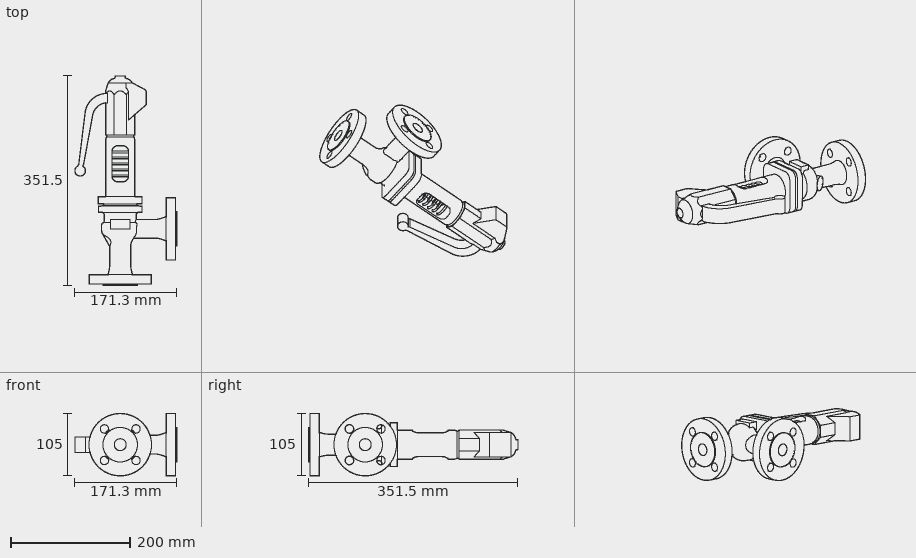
import cadquery as cq
import math


OVERALL_WIDTH = 171.27

FACE_DISTANCE = 95.0
FLANGE_RADIUS = 52.5
FLANGE_THICKNESS = 16.0
RAISED_FACE_RADIUS = 29.0
RAISED_FACE_HEIGHT = 2.0
BOLT_CIRCLE_RADIUS = 37.5
BOLT_HOLE_RADIUS = 7.0
BOLT_COUNT = 4
PORT_RADIUS = 10.0
PORT_DEPTH = 0.2
FLANGE_BACK = FACE_DISTANCE - RAISED_FACE_HEIGHT - FLANGE_THICKNESS

HUB_START = 62.0
HUB_BULGE = 0.5
INLET_RADIUS = 17.8
INLET_HUB_RADIUS = 20.8
OUTLET_RADIUS = 16.0
OUTLET_HUB_RADIUS = 20.8

BODY_RADIUS = 31.5
BODY_BELT_TOP = 4.4
BODY_BELT_BOTTOM = -1.0
BODY_TURN_RADIUS = 25.0
BODY_TURN_Y = -13.6
INLET_PIPE_START = -31.5
NECK_RADIUS = 27.0
NECK_BOTTOM = 14.2
BOWL_TOP_RADIUS = 27.8
BOWL_TOP_Y = 10.9
NECK_BLEND_BULGE = 0.2
SHOULDER_BULGE = 1.5
BOWL_BULGE = 2.0
FLARE_BULGE = 2.3
NECK_FILLET = 4.5

BODY_CLAMP_BOTTOM = 27.7
BODY_CLAMP_TOP = 38.2
BONNET_CLAMP_BOTTOM = 41.7
BONNET_CLAMP_TOP = 54.0
BODY_CLAMP_SIZE = 73.2
BONNET_CLAMP_SIZE = 73.8
BODY_CLAMP_FLAT = 51.0
BONNET_CLAMP_FLAT = 48.0
GASKET_RADIUS = 28.0
GASKET_SEAT_RADIUS = 33.0
GASKET_SEAT_HEIGHT = 1.0

BONNET_RADIUS = 24.5
BONNET_TOP = 154.4
BONNET_TOP_RADIUS = 22.5
BONNET_ROUNDING_HEIGHT = 5.1
BONNET_ROUNDING_BULGE = 0.5
WINDOW_WIDTH = 27.6
WINDOW_BOTTOM = 79.0
WINDOW_TOP = 139.2
WINDOW_CORNER_RADIUS = 9.5
COIL_COUNT = 5
COIL_PITCH = 10.0
COIL_WIRE_RADIUS = 1.7
COIL_RADIUS = 17.0
FIRST_COIL_Y = 88.9

CAP_BOTTOM = 157.6
CAP_LIP_RADIUS = 23.7
CAP_SIDES = 8
CAP_FLATS = 49.4
CAP_SHOULDER_Y = 245.0
CAP_SHOULDER_RADIUS = 20.5
CAP_CONE_SLOPE = 0.31
DOME_POINTS = [(17.2, 249.0), (13.2, 251.6), (10.4, 252.5)]
TIP_Y = 256.5
TIP_RADIUS = 8.5

HOUSING_HALF_THICKNESS = 20.8
HOUSING_INNER_X = 14.0
HOUSING_ROOT_X = 9.6
HOUSING_OUTER_X = 44.0
HOUSING_INNER_Y = 182.6
HOUSING_OUTER_BOTTOM = 208.3
HOUSING_OUTER_TOP = 232.5
HOUSING_CORNER_RADIUS = 5.0

LEVER_THICKNESS = 26.6
LEVER_TOP = 227.5
LEVER_ROOT_DEPTH = 16.0
LEVER_ROOT_X = -20.0
LEVER_BEND_START_X = -22.0
LEVER_OUTER_BEND = (-59.4, 192.8)
LEVER_INNER_BEND = (-45.8, 192.0)
LEVER_INNER_BULGE = 5.2
LEVER_OUTER_END = (-69.5, 110.5)
LEVER_INNER_END = (-61.3, 108.0)
KNOB_RADIUS = 9.0
KNOB_X = FACE_DISTANCE - OVERALL_WIDTH + KNOB_RADIUS
KNOB_Y = 97.4
KNOB_FILLET_Y = 104.4
KNOB_FILLET_BULGE = 0.95

BOSS_RADIUS = 12.5
BOSS_ANGLE = 210.0
BOSS_CENTER = (-23.75, -19.2)
BOSS_LENGTH = 22.0
PLATE_LENGTH = 33.0
PLATE_HEIGHT = 16.0
PLATE_CENTER_Y = 7.4
PLATE_TOP_Z = 35.0


def bulged_point(start, end, bulge):
    """Middle point of an arc from start to end, offset by bulge to the left of the chord."""
    dx = end[0] - start[0]
    dy = end[1] - start[1]
    chord = math.hypot(dx, dy)
    return ((start[0] + end[0]) / 2 - dy / chord * bulge, (start[1] + end[1]) / 2 + dx / chord * bulge)


def revolve_about_y(profile):
    return profile.close().revolve(360, (0, 0, 0), (0, 1, 0))


def flanged_pipe(pipe_radius, hub_radius, pipe_start):
    """Pipe with flared hub and flange, running down the -Y axis."""
    pipe_end = (pipe_radius, -HUB_START)
    hub_end = (hub_radius, -FLANGE_BACK)
    flange_face = -FACE_DISTANCE + RAISED_FACE_HEIGHT
    profile = (
        cq.Workplane("XY")
        .moveTo(0, pipe_start)
        .lineTo(pipe_radius, pipe_start)
        .lineTo(*pipe_end)
        .threePointArc(bulged_point(pipe_end, hub_end, -HUB_BULGE), hub_end)
        .lineTo(FLANGE_RADIUS, -FLANGE_BACK)
        .lineTo(FLANGE_RADIUS, flange_face)
        .lineTo(RAISED_FACE_RADIUS, flange_face)
        .lineTo(RAISED_FACE_RADIUS, -FACE_DISTANCE)
        .lineTo(PORT_RADIUS, -FACE_DISTANCE)
        .lineTo(PORT_RADIUS, -FACE_DISTANCE + PORT_DEPTH)
        .lineTo(0, -FACE_DISTANCE + PORT_DEPTH)
    )
    bolt_holes = (
        cq.Workplane("XZ", origin=(0, -FLANGE_BACK, 0))
        .polarArray(BOLT_CIRCLE_RADIUS, 180 / BOLT_COUNT, 360, BOLT_COUNT)
        .circle(BOLT_HOLE_RADIUS)
        .extrude(FLANGE_THICKNESS)
    )
    return revolve_about_y(profile).cut(bolt_holes)


def make_body():
    """Rounded bowl that flares down into the inlet pipe, with the neck above it."""
    belt_top = (BODY_RADIUS, BODY_BELT_TOP)
    bowl_top = (BOWL_TOP_RADIUS, BOWL_TOP_Y)
    neck_bottom = (NECK_RADIUS, NECK_BOTTOM)
    belt_bottom = (BODY_RADIUS, BODY_BELT_BOTTOM)
    turn = (BODY_TURN_RADIUS, BODY_TURN_Y)
    pipe = (INLET_RADIUS, INLET_PIPE_START)
    fillet_start = (NECK_RADIUS, BODY_CLAMP_BOTTOM - NECK_FILLET)
    fillet_end = (NECK_RADIUS + NECK_FILLET, BODY_CLAMP_BOTTOM)
    quarter_bulge = NECK_FILLET * (1 - math.sqrt(0.5))
    profile = (
        cq.Workplane("XY")
        .moveTo(0, INLET_PIPE_START)
        .lineTo(*pipe)
        .threePointArc(bulged_point(pipe, turn, FLARE_BULGE), turn)
        .threePointArc(bulged_point(turn, belt_bottom, -BOWL_BULGE), belt_bottom)
        .lineTo(*belt_top)
        .threePointArc(bulged_point(belt_top, bowl_top, -SHOULDER_BULGE), bowl_top)
        .threePointArc(bulged_point(bowl_top, neck_bottom, NECK_BLEND_BULGE), neck_bottom)
        .lineTo(*fillet_start)
        .threePointArc(bulged_point(fillet_start, fillet_end, quarter_bulge), fillet_end)
        .lineTo(0, BODY_CLAMP_BOTTOM)
    )
    return revolve_about_y(profile)


def clamp_flange(bottom, top, size, flat_length):
    """Square flange whose rounded corners leave the given flat on each side."""
    return (
        cq.Workplane("XZ", origin=(0, top, 0))
        .rect(size, size)
        .extrude(top - bottom)
        .edges("|Y")
        .fillet((size - flat_length) / 2)
    )


def make_gasket():
    seat_top = BODY_CLAMP_TOP + GASKET_SEAT_HEIGHT
    profile = (
        cq.Workplane("XY")
        .moveTo(0, BODY_CLAMP_TOP)
        .lineTo(GASKET_SEAT_RADIUS, BODY_CLAMP_TOP)
        .lineTo(GASKET_RADIUS, seat_top)
        .lineTo(GASKET_RADIUS, BONNET_CLAMP_BOTTOM)
        .lineTo(0, BONNET_CLAMP_BOTTOM)
    )
    return revolve_about_y(profile)


def make_bonnet():
    """Round column with a window right through it and the spring coils inside."""
    rounding_start = (BONNET_RADIUS, BONNET_TOP - BONNET_ROUNDING_HEIGHT)
    rounding_end = (BONNET_TOP_RADIUS, BONNET_TOP)
    profile = (
        cq.Workplane("XY")
        .moveTo(0, BONNET_CLAMP_TOP)
        .lineTo(BONNET_RADIUS, BONNET_CLAMP_TOP)
        .lineTo(*rounding_start)
        .threePointArc(bulged_point(rounding_start, rounding_end, -BONNET_ROUNDING_BULGE), rounding_end)
        .lineTo(0, BONNET_TOP)
    )
    window = (
        cq.Workplane("XY", origin=(0, (WINDOW_BOTTOM + WINDOW_TOP) / 2, 0))
        .rect(WINDOW_WIDTH, WINDOW_TOP - WINDOW_BOTTOM)
        .extrude(BONNET_RADIUS, both=True)
        .edges("|Z")
        .fillet(WINDOW_CORNER_RADIUS)
    )
    bonnet = revolve_about_y(profile).cut(window)
    for index in range(COIL_COUNT):
        coil_y = FIRST_COIL_Y + index * COIL_PITCH
        coil = cq.Solid.makeTorus(COIL_RADIUS, COIL_WIRE_RADIUS, cq.Vector(0, coil_y, 0), cq.Vector(0, 1, 0))
        bonnet = bonnet.union(cq.Workplane(coil))
    return bonnet


def make_cap():
    """Octagonal cap with a turned cone, dome and tip."""
    corner_diameter = CAP_FLATS / math.cos(math.pi / CAP_SIDES)
    octagon = (
        cq.Workplane("XZ", origin=(0, CAP_BOTTOM, 0))
        .transformed(rotate=(0, 0, 180 / CAP_SIDES))
        .polygon(CAP_SIDES, corner_diameter)
        .extrude(-(TIP_Y - CAP_BOTTOM))
    )
    envelope_radius = CAP_SHOULDER_RADIUS + CAP_CONE_SLOPE * (CAP_SHOULDER_Y - CAP_BOTTOM)
    shoulder = (CAP_SHOULDER_RADIUS, CAP_SHOULDER_Y)
    tip_edge = (TIP_RADIUS, TIP_Y)
    envelope = (
        cq.Workplane("XY")
        .moveTo(0, CAP_BOTTOM)
        .lineTo(envelope_radius, CAP_BOTTOM)
        .lineTo(*shoulder)
        .spline([*DOME_POINTS, tip_edge], includeCurrent=True)
        .lineTo(0, TIP_Y)
    )
    lip = (
        cq.Workplane("XY")
        .moveTo(0, BONNET_TOP)
        .lineTo(BONNET_TOP_RADIUS, BONNET_TOP)
        .lineTo(CAP_LIP_RADIUS, CAP_BOTTOM)
        .lineTo(0, CAP_BOTTOM)
    )
    return octagon.intersect(revolve_about_y(envelope)).union(revolve_about_y(lip))


def make_housing():
    """Flat-sided cam housing standing out of the cap on the +X side."""
    outer_edge_top = (HOUSING_OUTER_X, HOUSING_OUTER_TOP)
    plate = (
        cq.Workplane("XY")
        .moveTo(HOUSING_ROOT_X, HOUSING_INNER_Y)
        .lineTo(HOUSING_INNER_X, HOUSING_INNER_Y)
        .lineTo(HOUSING_OUTER_X, HOUSING_OUTER_BOTTOM)
        .lineTo(*outer_edge_top)
        .lineTo(CAP_SHOULDER_RADIUS, CAP_SHOULDER_Y)
        .lineTo(HOUSING_ROOT_X, CAP_SHOULDER_Y)
        .close()
        .extrude(HOUSING_HALF_THICKNESS, both=True)
    )
    rounded_edge = cq.selectors.NearestToPointSelector((*outer_edge_top, 0))
    return plate.edges(rounded_edge).fillet(HOUSING_CORNER_RADIUS)


def make_lever():
    """Hand lever curving out of the cap and ending in a round knob."""
    root_bottom = (LEVER_BEND_START_X, LEVER_TOP - LEVER_ROOT_DEPTH)
    knob_joint_offset = math.sqrt(KNOB_RADIUS**2 - (KNOB_FILLET_Y - KNOB_Y)**2)
    knob_joint = (KNOB_X - knob_joint_offset, KNOB_FILLET_Y)
    arm = (
        cq.Workplane("XY")
        .moveTo(LEVER_ROOT_X, LEVER_TOP)
        .lineTo(LEVER_BEND_START_X, LEVER_TOP)
        .tangentArcPoint(LEVER_OUTER_BEND, relative=False)
        .lineTo(*LEVER_OUTER_END)
        .threePointArc(bulged_point(LEVER_OUTER_END, knob_joint, KNOB_FILLET_BULGE), knob_joint)
        .lineTo(KNOB_X, KNOB_Y)
        .lineTo(*LEVER_INNER_END)
        .lineTo(*LEVER_INNER_BEND)
        .threePointArc(bulged_point(LEVER_INNER_BEND, root_bottom, LEVER_INNER_BULGE), root_bottom)
        .lineTo(LEVER_ROOT_X, LEVER_TOP - LEVER_ROOT_DEPTH)
        .close()
        .extrude(LEVER_THICKNESS / 2, both=True)
    )
    knob = (
        cq.Workplane("XY", origin=(KNOB_X, KNOB_Y, 0))
        .circle(KNOB_RADIUS)
        .extrude(LEVER_THICKNESS / 2, both=True)
    )
    return arm.union(knob)


def make_boss():
    """Slanted round boss with a flat end face."""
    angle = math.radians(BOSS_ANGLE)
    outward = (math.cos(angle), math.sin(angle), 0)
    face = cq.Plane(origin=(*BOSS_CENTER, 0), xDir=(0, 0, 1), normal=outward)
    return cq.Workplane(face).circle(BOSS_RADIUS).extrude(-BOSS_LENGTH)


def make_name_plate():
    return (
        cq.Workplane("XY", origin=(0, PLATE_CENTER_Y, 0))
        .rect(PLATE_LENGTH, PLATE_HEIGHT)
        .extrude(PLATE_TOP_Z)
    )


inlet = flanged_pipe(INLET_RADIUS, INLET_HUB_RADIUS, INLET_PIPE_START)
outlet = flanged_pipe(OUTLET_RADIUS, OUTLET_HUB_RADIUS, 0).rotate((0, 0, 0), (0, 0, 1), 90)
body_clamp = clamp_flange(BODY_CLAMP_BOTTOM, BODY_CLAMP_TOP, BODY_CLAMP_SIZE, BODY_CLAMP_FLAT)
bonnet_clamp = clamp_flange(BONNET_CLAMP_BOTTOM, BONNET_CLAMP_TOP, BONNET_CLAMP_SIZE, BONNET_CLAMP_FLAT)

result = (
    make_body()
    .union(inlet)
    .union(outlet)
    .union(make_boss())
    .union(make_name_plate())
    .union(body_clamp)
    .union(make_gasket())
    .union(bonnet_clamp)
    .union(make_bonnet())
    .union(make_cap())
    .union(make_housing())
    .union(make_lever())
)